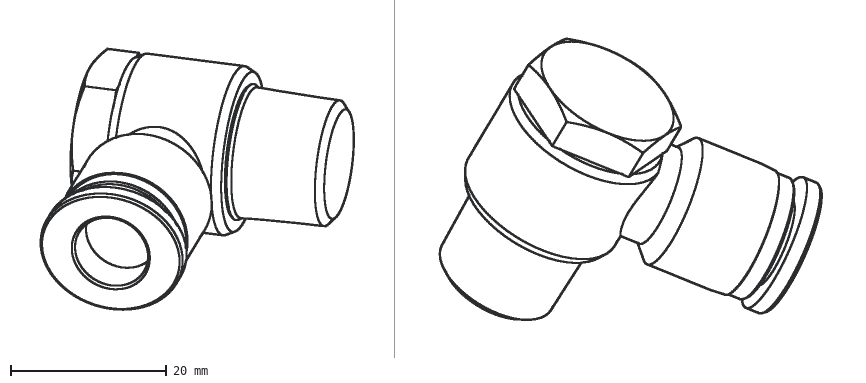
import cadquery as cq
import math

hex_flats = 19.0
hex_corners = hex_flats / math.cos(math.radians(30))
hex_height = 5.0
hex_bevel_length = 0.8
hex_bevel_depth = 1.5

barrel_diameter = 22.0
barrel_length = 15.45
barrel_bevel_length = 1.2
barrel_bevel_depth = 0.6
barrel_end = hex_height + barrel_length

shank_diameter = 17.3
collar_diameter = 17.7
collar_start = barrel_end + 0.25
thread_start = collar_start + 0.55
thread_root_diameter = 17.03
thread_tip_diameter = 16.4
bolt_length = 33.3
thread_bevel_length = 0.95
thread_bevel_depth = 1.08

neck_diameter = 13.4
neck_end = 13.1
socket_diameter = 17.6
shoulder_end = 15.1
socket_taper_start = 24.1
socket_taper_end = 26.15
socket_taper_diameter = 17.3
rim_diameter = 16.9
rim_bevel = 0.25
rim_end = 28.55
socket_x = hex_height + neck_diameter / 2

sleeve_diameter = 11.9
sleeve_seat = 26.4
tube_diameter = 9.75
tube_bevel = 0.35
flange_width = 19.0
flange_height = 16.65
flange_start = 29.7
sleeve_end = 43 - barrel_diameter / 2
flange_bevel_length = 0.4
flange_bevel_depth = 0.3


def turned_about_x(points):
    """Solid of revolution about X from (x, radius) points."""
    return cq.Workplane("XY").polyline(points).close().revolve(360, (0, 0), (1, 0))


def turned_about_socket(points):
    """Solid of revolution about the socket axis from (radius, distance) points."""
    profile = [(radius, -distance) for radius, distance in points]
    return (
        cq.Workplane("XY", origin=(socket_x, 0, 0))
        .polyline(profile)
        .close()
        .revolve(360, (0, 0), (0, 1))
    )


def socket_plane(distance):
    """Workplane across the socket axis, facing -Y."""
    return cq.Workplane("XZ", origin=(socket_x, -distance, 0))


def make_bolt():
    """Banjo bolt: hexagon head, plain shank, collar and tapered thread."""
    hexagon = (
        cq.Workplane("YZ")
        .polygon(6, hex_corners)
        .extrude(hex_height)
    )
    bevel_end_radius = hex_flats / 2 + hex_bevel_depth
    bevel_envelope = turned_about_x([
        (0, 0),
        (0, hex_flats / 2),
        (hex_bevel_length, bevel_end_radius),
        (hex_height, bevel_end_radius),
        (hex_height, 0),
    ])
    thread_tip_radius = thread_tip_diameter / 2
    stem = turned_about_x([
        (hex_height, 0),
        (hex_height, shank_diameter / 2),
        (collar_start, shank_diameter / 2),
        (collar_start, collar_diameter / 2),
        (thread_start, thread_root_diameter / 2),
        (bolt_length - thread_bevel_length, thread_tip_radius),
        (bolt_length, thread_tip_radius - thread_bevel_depth),
        (bolt_length, 0),
    ])
    return hexagon.intersect(bevel_envelope).union(stem)


def make_banjo():
    """Barrel and side socket, bored for the bolt shank and the release sleeve."""
    barrel_radius = barrel_diameter / 2
    barrel_end_radius = barrel_radius - barrel_bevel_depth
    barrel = turned_about_x([
        (hex_height, 0),
        (hex_height, barrel_end_radius),
        (hex_height + barrel_bevel_length, barrel_radius),
        (barrel_end - barrel_bevel_length, barrel_radius),
        (barrel_end, barrel_end_radius),
        (barrel_end, 0),
    ])
    socket = turned_about_socket([
        (0, 0),
        (neck_diameter / 2, 0),
        (neck_diameter / 2, neck_end),
        (socket_diameter / 2, shoulder_end),
        (socket_diameter / 2, socket_taper_start),
        (socket_taper_diameter / 2, socket_taper_end),
        (rim_diameter / 2, socket_taper_end),
        (rim_diameter / 2, rim_end - rim_bevel),
        (rim_diameter / 2 - rim_bevel, rim_end),
        (0, rim_end),
    ])
    shank_bore = (
        cq.Workplane("YZ", origin=(hex_height, 0, 0))
        .circle(shank_diameter / 2)
        .extrude(barrel_length)
    )
    sleeve_bore = socket_plane(sleeve_seat).circle(sleeve_diameter / 2).extrude(rim_end - sleeve_seat)
    return barrel.union(socket).cut(shank_bore).cut(sleeve_bore)


def make_flange():
    """Oval flange with a bevelled outer edge."""
    straight_end = sleeve_end - flange_bevel_length
    body = (
        socket_plane(flange_start)
        .ellipse(flange_width / 2, flange_height / 2)
        .extrude(straight_end - flange_start)
    )
    bevel = (
        socket_plane(straight_end)
        .ellipse(flange_width / 2, flange_height / 2)
        .workplane(offset=flange_bevel_length)
        .ellipse(flange_width / 2 - flange_bevel_depth, flange_height / 2 - flange_bevel_depth)
        .loft(ruled=True)
    )
    return body.union(bevel)


def make_release_sleeve():
    """Release sleeve: round tube with an oval flange and a bevelled mouth."""
    tube = socket_plane(sleeve_seat).circle(sleeve_diameter / 2).extrude(sleeve_end - sleeve_seat)
    tube_hole = turned_about_socket([
        (0, sleeve_seat),
        (tube_diameter / 2, sleeve_seat),
        (tube_diameter / 2, sleeve_end - tube_bevel),
        (tube_diameter / 2 + tube_bevel, sleeve_end),
        (0, sleeve_end),
    ])
    return tube.union(make_flange()).cut(tube_hole)


bolt = make_bolt()
banjo = make_banjo()
release_sleeve = make_release_sleeve()

result = cq.Compound.makeCompound([bolt.val(), banjo.val(), release_sleeve.val()])